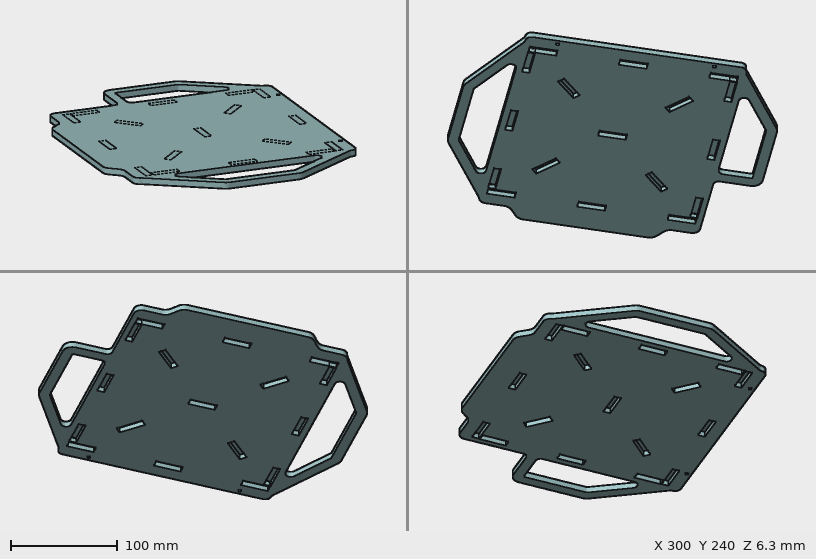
import cadquery as cq
import math

length = 300.0
depth = 240.0
thickness = 6.3
body_half_width = 105.5
shoulder_y = -106.0
top_corner_radius = 6.0
shoulder_radius = 7.5

tab_root_half_width = 75.5
tab_tip_half_width = 64.5
tab_radius = 10.0

handle_band = 10.2
handle_upper_y = 44.5
handle_lower_y = -31.8
arm_slope = 1.54
grip_radius = 10.0
left_handle_bottom_y = -33.3
neck_radius = 5.0

slot_inner_x = 106.5
slot_end_radius = 5.0
slot_grip_radius = 1.5

hole_diameter = 3.0
hole_x = 75.0
hole_y = 115.5

pocket_length = 26.5
pocket_width = 7.0
pocket_skin = 0.75
pocket_row = 96.5
corner_pocket_along_x = 86.5
corner_pocket_along_y = 79.0
diagonal_pocket = 52.8

back_y = depth / 2
front_y = -depth / 2
half_length = length / 2
pocket_center_y = (back_y + shoulder_y) / 2
arm_rise = arm_slope * (half_length - body_half_width)
slot_outer_x = half_length - handle_band
slot_corner_drop = handle_band * (math.hypot(1, arm_slope) - arm_slope)
slot_upper_y = handle_upper_y - slot_corner_drop
slot_lower_y = handle_lower_y + slot_corner_drop
slot_rise = arm_slope * (slot_outer_x - slot_inner_x)


def rounded_prism(corners):
    """Extrude a polygon of (x, y, radius) corners through the plate and round its upright edges."""
    outline = [(x, y) for x, y, _ in corners]
    prism = cq.Workplane("XY").polyline(outline).close().extrude(thickness)
    for x, y, radius in corners:
        upright = cq.selectors.NearestToPointSelector((x, y, thickness / 2))
        prism = prism.edges("|Z").edges(upright).fillet(radius)
    return prism


def plate():
    right_side = [
        (body_half_width, back_y, top_corner_radius),
        (body_half_width, handle_upper_y + arm_rise, neck_radius),
        (half_length, handle_upper_y, grip_radius),
        (half_length, handle_lower_y, grip_radius),
        (body_half_width, handle_lower_y - arm_rise, neck_radius),
        (body_half_width, shoulder_y, shoulder_radius),
        (tab_root_half_width, shoulder_y, tab_radius),
        (tab_tip_half_width, front_y, tab_radius),
    ]
    left_side = [
        (-tab_tip_half_width, front_y, tab_radius),
        (-tab_root_half_width, shoulder_y, tab_radius),
        (-body_half_width, shoulder_y, shoulder_radius),
        (-body_half_width, left_handle_bottom_y, neck_radius),
        (-half_length, left_handle_bottom_y, grip_radius),
        (-half_length, handle_upper_y, grip_radius),
        (-body_half_width, handle_upper_y + arm_rise, neck_radius),
        (-body_half_width, back_y, top_corner_radius),
    ]
    return rounded_prism(right_side + left_side)


def right_slot():
    return rounded_prism([
        (slot_inner_x, slot_upper_y + slot_rise, slot_end_radius),
        (slot_outer_x, slot_upper_y, slot_grip_radius),
        (slot_outer_x, slot_lower_y, slot_grip_radius),
        (slot_inner_x, slot_lower_y - slot_rise, slot_end_radius),
    ])


def left_slot():
    slot_bottom_y = left_handle_bottom_y + handle_band
    return rounded_prism([
        (-slot_inner_x, slot_upper_y + slot_rise, slot_end_radius),
        (-slot_outer_x, slot_upper_y, slot_grip_radius),
        (-slot_outer_x, slot_bottom_y, slot_grip_radius),
        (-slot_inner_x, slot_bottom_y, slot_end_radius),
    ])


def holes():
    centers = [(-hole_x, hole_y), (hole_x, hole_y)]
    return cq.Workplane("XY").pushPoints(centers).circle(hole_diameter / 2).extrude(thickness)


def pocket(x, y, angle):
    """Rectangular pocket open at the bottom; its long side is turned by angle from X."""
    return (
        cq.Workplane("XY")
        .rect(pocket_length, pocket_width)
        .extrude(thickness - pocket_skin)
        .rotate((0, 0, 0), (0, 0, 1), angle)
        .translate((x, y + pocket_center_y, 0))
    )


def pocket_places():
    """List (x, y, angle) of every pocket, measured from the centre of the pattern."""
    places = [(0, 0, 0)]
    for side in (-1, 1):
        places.append((0, side * pocket_row, 0))
        places.append((side * pocket_row, 0, 90))
        for end in (-1, 1):
            places.append((side * corner_pocket_along_x, end * pocket_row, 0))
            places.append((side * pocket_row, end * corner_pocket_along_y, 90))
            places.append((side * diagonal_pocket, end * diagonal_pocket, side * end * 45))
    return places


result = plate().cut(right_slot()).cut(left_slot()).cut(holes())
for place in pocket_places():
    result = result.cut(pocket(*place))